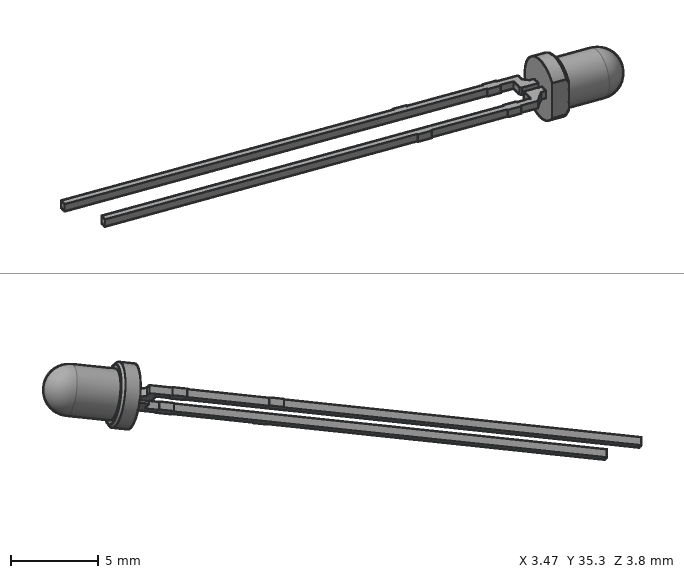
import cadquery as cq

total_length = 35.3
lens_diameter = 3.0
lens_radius = lens_diameter / 2
body_length = 5.2
flange_radius = 1.9
flange_height = 1.1
flange_chamfer = 0.18

lead_pitch = 2.55
lead_width = 0.45
lead_thickness = 0.5
lead_length_difference = 1.27
long_lead = total_length - body_length
short_lead = long_lead - lead_length_difference

stem_inner = 0.2
stem_outer = 0.75
stem_depth = 0.3
shoulder_depth = 0.65
sloped_shoulder_inset = 0.4
square_shoulder_inset = 0.45
foot_depth = 1.15
foot_chamfer = 0.1
sloped_corner_drop = 0.3

barb_projection = 0.07
barb_length = 0.9
upper_barb_depth = 2.0
lower_barb_depth = 7.8

lead_inner = (lead_pitch - lead_width) / 2
lead_outer = (lead_pitch + lead_width) / 2


def make_housing():
    """Domed lens on a chamfered flange, flattened on the +X side."""
    dome_start = body_length - lens_radius
    dome_mid = lens_radius * 0.5 ** 0.5
    profile = (
        cq.Workplane("XY")
        .lineTo(flange_radius, 0)
        .lineTo(flange_radius, flange_height - flange_chamfer)
        .lineTo(flange_radius - flange_chamfer, flange_height)
        .lineTo(lens_radius, flange_height)
        .lineTo(lens_radius, dome_start)
        .threePointArc((dome_mid, dome_start + dome_mid), (0, body_length))
        .close()
    )
    housing = profile.revolve(360, (0, 0, 0), (0, 1, 0))
    kept_width = flange_radius + lens_radius
    kept_block = cq.Workplane("XY").box(
        kept_width, body_length, 2 * flange_radius, centered=(False, False, True)
    ).translate((-flange_radius, 0, 0))
    return housing.intersect(kept_block)


def sheet(points):
    """Extrude an XY outline by the lead thickness, centred on Z = 0."""
    return cq.Workplane("XY").polyline(points).close().extrude(lead_thickness / 2, both=True)


def barb(inner, outer, depth):
    """Rectangular widening whose upper edge lies at the given depth."""
    return sheet([
        (inner, -depth),
        (outer, -depth),
        (outer, -depth - barb_length),
        (inner, -depth - barb_length),
    ])


def make_lead(length, shoulder_x, corner_drop, inner_chamfer):
    """Lead on the +X side, with its stem ending against the flange base."""
    points = [
        (stem_inner, 0),
        (stem_outer, 0),
        (stem_outer, -stem_depth),
        (shoulder_x, -shoulder_depth),
        (lead_outer, -shoulder_depth - corner_drop),
        (lead_outer, -length),
        (lead_inner, -length),
        (lead_inner, -foot_depth),
        (stem_inner + inner_chamfer, -foot_depth),
    ]
    if inner_chamfer > 0:
        points.append((stem_inner, -foot_depth + inner_chamfer))
    barb_outer = lead_outer + barb_projection
    upper_barb = barb(lead_inner - barb_projection, barb_outer, upper_barb_depth)
    lower_barb = barb(lead_inner, barb_outer, lower_barb_depth)
    return sheet(points).union(upper_barb).union(lower_barb).clean()


housing = make_housing()

sloped_shoulder_lead = make_lead(short_lead, lead_outer - sloped_shoulder_inset, sloped_corner_drop, 0)

square_shoulder_lead = make_lead(long_lead, lead_outer - square_shoulder_inset, 0, foot_chamfer).mirror("YZ")

result = cq.Compound.makeCompound([
    housing.val(),
    sloped_shoulder_lead.val(),
    square_shoulder_lead.val(),
])